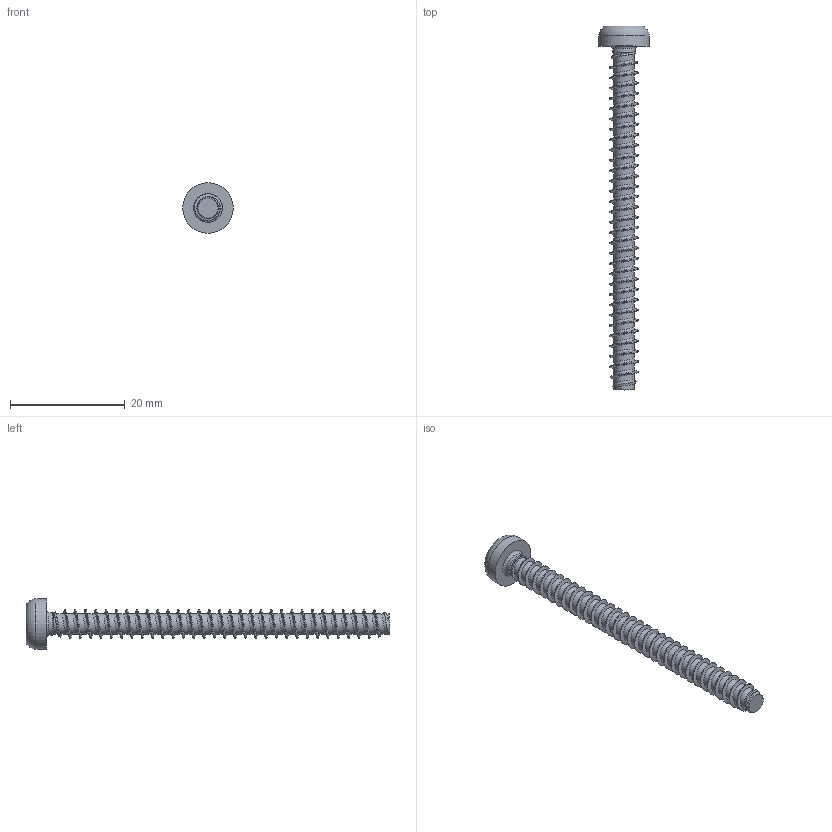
import cadquery as cq
import math


HEAD_RADIUS = 8.8 / 2
HEAD_HEIGHT = 3.49
RIM_HEIGHT = 1.75
CROWN_DEPTH = HEAD_HEIGHT - RIM_HEIGHT
CROWN_FLAT_RADIUS = 3.3

NECK_RADIUS = 2.0
NECK_FILLET = 0.5
NECK_END = 1.1
NECK_TAPER_LENGTH = 0.3
NECK_OVERLAP = 0.2

SHANK_LENGTH = 60.0
THREAD_RADIUS = 2.5
ROOT_RADIUS = 1.85
VALLEY_RADIUS = 1.75
PITCH = 1.8
CREST_WIDTH = 0.1
ROOT_WIDTH = 0.4
HEAD_SIDE_VALLEY = 0.65
TIP_SIDE_VALLEY = PITCH - HEAD_SIDE_VALLEY
FIRST_CREST = 1.04
FULL_THREAD_START = 3.4
FULL_THREAD_END = 57.3
CUTTER_RADIUS = THREAD_RADIUS + 0.3
SPARE_LENGTH = 3 * PITCH


def revolve_about_axis(outline):
    """Solid of revolution about Y from an open (radius, Y) outline."""
    return outline.close().revolve(360, (0, 0, 0), (0, 1, 0))


def make_head():
    """Cylindrical rim and a flat-topped crown whose arc is tangent to the rim."""
    crown_inset = HEAD_RADIUS - CROWN_FLAT_RADIUS
    crown_arc_radius = (crown_inset**2 + CROWN_DEPTH**2) / (2 * crown_inset)
    outline = (
        cq.Workplane("XY")
        .lineTo(HEAD_RADIUS, 0)
        .lineTo(HEAD_RADIUS, RIM_HEIGHT)
        .radiusArc((CROWN_FLAT_RADIUS, HEAD_HEIGHT), -crown_arc_radius)
        .lineTo(0, HEAD_HEIGHT)
    )
    return revolve_about_axis(outline)


def make_neck():
    """Neck filleted into the bearing face, with a taper that ends inside the threaded rod."""
    inner_radius = VALLEY_RADIUS - NECK_OVERLAP
    outline = (
        cq.Workplane("XY")
        .lineTo(NECK_RADIUS + NECK_FILLET, 0)
        .radiusArc((NECK_RADIUS, -NECK_FILLET), -NECK_FILLET)
        .lineTo(NECK_RADIUS, -NECK_END)
        .lineTo(inner_radius, -NECK_END - NECK_TAPER_LENGTH)
        .lineTo(0, -NECK_END - NECK_TAPER_LENGTH)
    )
    return revolve_about_axis(outline)


def make_helix(radius, offset):
    """Right-handed helix about Z that starts on +X at the given height."""
    return cq.Wire.makeHelix(PITCH, PITCH, radius).translate(cq.Vector(0, 0, offset))


def make_end_faces(valley_height, section):
    """Helicoid from one turn of the valley in to the axis, and the radial face beside it."""
    axis_start = cq.Vector(0, 0, valley_height)
    axis_end = cq.Vector(0, 0, valley_height + PITCH)
    axis = cq.Edge.makeLine(axis_start, axis_end)
    valley = make_helix(VALLEY_RADIUS, valley_height).Edges()[0]
    floor = cq.Face.makeRuledSurface(axis, valley)
    corners = [cq.Vector(radius, 0, height) for radius, height in section]
    wall = cq.Face.makeFromWires(cq.Wire.makePolygon([axis_start, *corners, axis_end], close=True))
    return [floor, wall]


def make_rod():
    """Threaded rod longer than the shank: one turn of ruled helicoid faces repeated along the axis."""
    section = [
        (VALLEY_RADIUS, -TIP_SIDE_VALLEY),
        (ROOT_RADIUS, -ROOT_WIDTH / 2),
        (THREAD_RADIUS, -CREST_WIDTH / 2),
        (THREAD_RADIUS, CREST_WIDTH / 2),
        (ROOT_RADIUS, ROOT_WIDTH / 2),
        (VALLEY_RADIUS, HEAD_SIDE_VALLEY),
    ]
    helices = [make_helix(radius, offset) for radius, offset in section]
    strips = [cq.Face.makeRuledSurface(a, b) for a, b in zip(helices, helices[1:])]

    top = PITCH - FIRST_CREST
    turns = math.ceil((top + SHANK_LENGTH + HEAD_SIDE_VALLEY) / PITCH)
    faces = [
        strip.translate(cq.Vector(0, 0, turn * PITCH)) for turn in range(turns) for strip in strips
    ]
    length = turns * PITCH
    top_section = [(radius, length + offset) for radius, offset in section]
    faces += make_end_faces(-TIP_SIDE_VALLEY, section)
    faces += make_end_faces(length - TIP_SIDE_VALLEY, top_section)
    rod = cq.Workplane(cq.Solid.makeSolid(cq.Shell.makeShell(faces)))
    return rod.rotate((0, 0, 0), (1, 0, 0), -90).translate((0, top - length, 0))


def taper_point(start, end, radius):
    """Point at the given radius on the straight line through two (radius, Y) points."""
    fraction = (radius - start[0]) / (end[0] - start[0])
    return radius, start[1] + fraction * (end[1] - start[1])


def make_lead_in_cutter():
    """Ring whose conical bore lets the ridge grow from the neck to its full height."""
    neck_point = (NECK_RADIUS, -FIRST_CREST)
    full_point = (THREAD_RADIUS, -FULL_THREAD_START)
    inner_point = taper_point(neck_point, full_point, VALLEY_RADIUS)
    outer_point = taper_point(neck_point, full_point, CUTTER_RADIUS)
    outline = (
        cq.Workplane("XY")
        .moveTo(*inner_point)
        .lineTo(*outer_point)
        .lineTo(CUTTER_RADIUS, inner_point[1])
    )
    return revolve_about_axis(outline)


def make_run_out_cutter():
    """Cup with the tip plane as its floor and a conical bore in which the ridge runs out."""
    full_point = (THREAD_RADIUS, -FULL_THREAD_END)
    tip_point = (VALLEY_RADIUS, -SHANK_LENGTH)
    outer_point = taper_point(tip_point, full_point, CUTTER_RADIUS)
    cup_bottom = -SHANK_LENGTH - SPARE_LENGTH
    outline = (
        cq.Workplane("XY")
        .moveTo(0, -SHANK_LENGTH)
        .lineTo(*tip_point)
        .lineTo(*outer_point)
        .lineTo(CUTTER_RADIUS, cup_bottom)
        .lineTo(0, cup_bottom)
    )
    return revolve_about_axis(outline)


def make_shank():
    """Neck and threaded rod, with the thread tapered at both ends."""
    rod = make_rod().cut(make_lead_in_cutter()).cut(make_run_out_cutter())
    return rod.union(make_neck())


result = make_head().union(make_shank()).solids()